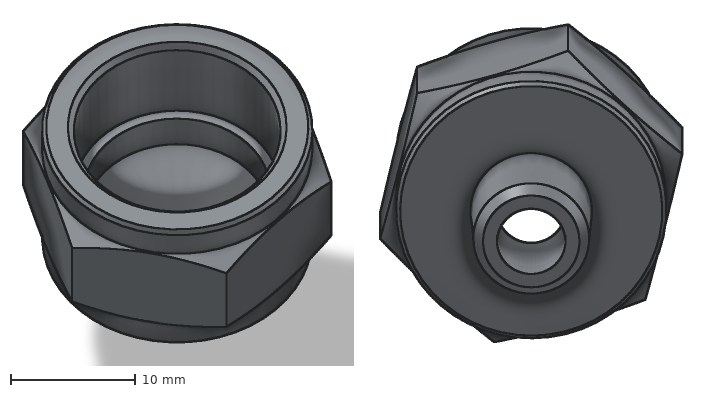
import cadquery as cq
import math

hex_across_corners = 25.4
hex_bottom = 10.77
hex_top = 19.75
hex_chamfer_angle = 30.0

collar_diameter = 21.8
collar_bottom = 8.0
collar_top = 22.5
collar_chamfer = 0.33

spigot_root_diameter = 9.8
spigot_end_diameter = 9.35
spigot_chamfer = 0.8

bore_diameter = 16.65
bore_chamfer = 0.48
bore_depth = 8.28
lower_bore_diameter = 15.0
lower_bore_depth = 3.3
funnel_angle = 30.0
through_hole_diameter = 5.5

collar_radius = collar_diameter / 2
bore_radius = bore_diameter / 2
lower_bore_radius = lower_bore_diameter / 2
hole_radius = through_hole_diameter / 2


def revolve_profile(points):
    """Revolve a closed (radius, height) outline around the Z axis."""
    return cq.Workplane("XZ").polyline(points).close().revolve(360, (0, 0, 0), (0, 1, 0))


def make_hexagon():
    """Hexagon with its corners turned off by a cone at both ends."""
    corner_radius = hex_across_corners / 2
    chamfer_drop = (corner_radius - collar_radius) * math.tan(math.radians(hex_chamfer_angle))
    prism = (
        cq.Workplane("XY")
        .workplane(offset=hex_bottom)
        .polygon(6, hex_across_corners)
        .extrude(hex_top - hex_bottom)
    )
    turned_envelope = revolve_profile([
        (0, hex_bottom),
        (collar_radius, hex_bottom),
        (corner_radius, hex_bottom + chamfer_drop),
        (corner_radius, hex_top - chamfer_drop),
        (collar_radius, hex_top),
        (0, hex_top),
    ])
    return prism.intersect(turned_envelope)


def make_collar_and_spigot():
    spigot_end_radius = spigot_end_diameter / 2
    return revolve_profile([
        (0, 0),
        (spigot_end_radius - spigot_chamfer, 0),
        (spigot_end_radius, spigot_chamfer),
        (spigot_root_diameter / 2, collar_bottom),
        (collar_radius - collar_chamfer, collar_bottom),
        (collar_radius, collar_bottom + collar_chamfer),
        (collar_radius, collar_top - collar_chamfer),
        (collar_radius - collar_chamfer, collar_top),
        (0, collar_top),
    ])


def make_bore():
    """Chamfered bore, flat ledge, narrower bore, conical funnel and through hole."""
    ledge_height = collar_top - bore_depth
    funnel_top = ledge_height - lower_bore_depth
    funnel_depth = (lower_bore_radius - hole_radius) * math.tan(math.radians(funnel_angle))
    return revolve_profile([
        (0, 0),
        (hole_radius, 0),
        (hole_radius, funnel_top - funnel_depth),
        (lower_bore_radius, funnel_top),
        (lower_bore_radius, ledge_height),
        (bore_radius, ledge_height),
        (bore_radius, collar_top - bore_chamfer),
        (bore_radius + bore_chamfer, collar_top),
        (0, collar_top),
    ])


result = make_hexagon().union(make_collar_and_spigot()).cut(make_bore())